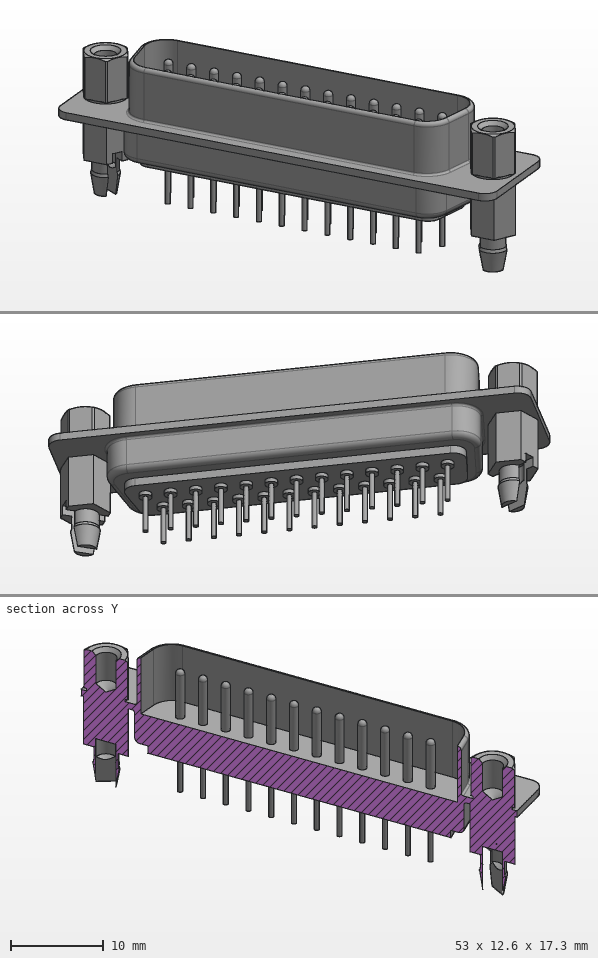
import cadquery as cq
import math


overall_height = 17.3

flange_length = 53.04
flange_width = 12.55
flange_thickness = 0.85
flange_corner_radius = 1.5

side_slant = 10.0
shell_height = 6.1
shell_half_length = 19.75
shell_half_width = 4.7
shell_corner_radius = 3.0
shell_wall = 0.5
cavity_floor = -1.0
rim_radius = 0.47
foot_radius = 0.25

housing_bottom = -4.87
housing_half_length = 20.07
housing_half_width = 5.3
housing_corner_radius = 2.6
housing_edge_radius = 0.7

insulator_bottom = -5.8
insulator_half_length = 18.45
insulator_half_width = 3.41
insulator_corner_radius = 1.41

long_row_count = 13
short_row_count = 12
pin_pitch = 2.77
row_spacing = 2.84
pin_radius = 0.5
pin_tip_radius = 0.99 * pin_radius
pin_top = 5.0
tail_radius = 0.28
tail_bottom = -10.42
pin_boss_radius = 0.69
pin_boss_bottom = -6.25

post_spacing = 47.04
hex_flats = 4.76
nut_bottom = 0.25
nut_top = 5.25
nut_round_radius = 2.68
nut_chamfer_width = 0.35
nut_chamfer_height = 0.2
washer_radius = hex_flats / 2
bore_radius = 1.2
drill_point_angle = 118.0
bore_depth = 4.0
bore_tip_depth = bore_radius / math.tan(math.radians(drill_point_angle / 2))
countersink_radius = 1.65
countersink_depth = countersink_radius - bore_radius
standoff_bottom = -6.9

lock_bottom = shell_height - overall_height
lock_barb_top = -8.5
lock_barb_bottom = -8.86
lock_shank_radius = 1.5
lock_barb_radius = 1.62
lock_tip_radius = 1.23
slot_width = 1.2
slot_top = -5.8
slot_angle = 30.0
lock_bore_bottom = -8.07


def d_prism(half_length, half_width, corner_radius, bottom, top):
    """D-shaped prism, wider on the +Y side, with rounded upright corners."""
    taper = half_width * math.tan(math.radians(side_slant))
    wide = half_length + taper
    narrow = half_length - taper
    corners = [(-wide, half_width), (wide, half_width), (narrow, -half_width), (-narrow, -half_width)]
    prism = cq.Workplane("XY").workplane(offset=bottom).polyline(corners).close().extrude(top - bottom)
    return prism.edges("|Z").fillet(corner_radius)


def cylinder(radius, bottom, top, x=0.0, y=0.0):
    """Upright cylinder between two heights."""
    return cq.Workplane("XY").workplane(offset=bottom).center(x, y).circle(radius).extrude(top - bottom)


def hex_prism(bottom, top):
    """Hexagonal prism with two corners on the X axis."""
    across_corners = hex_flats / math.cos(math.radians(30))
    return cq.Workplane("XY").workplane(offset=bottom).polygon(6, across_corners).extrude(top - bottom)


def revolved(profile):
    """Solid turned about Z from a profile of (radius, height) points."""
    return cq.Workplane("XZ").polyline(profile).close().revolve(360, (0, 0), (0, 1))


def make_shell_body():
    """Flange, hollow shell above it, solid housing and stepped insulator below it."""
    flange = (
        cq.Workplane("XY")
        .workplane(offset=-flange_thickness)
        .rect(flange_length, flange_width)
        .extrude(flange_thickness)
        .edges("|Z")
        .fillet(flange_corner_radius)
    )
    shell = d_prism(shell_half_length, shell_half_width, shell_corner_radius, 0, shell_height)
    shell = shell.faces(">Z").edges().fillet(rim_radius)
    housing = d_prism(
        housing_half_length, housing_half_width, housing_corner_radius, housing_bottom, -flange_thickness
    )
    housing = housing.faces("<Z").edges().fillet(housing_edge_radius)
    body = flange.union(shell).union(housing)
    body = body.edges(flange_joint_edges()).fillet(foot_radius)

    cavity_half_length = shell_half_length - shell_wall / math.cos(math.radians(side_slant))
    cavity = d_prism(
        cavity_half_length,
        shell_half_width - shell_wall,
        shell_corner_radius - shell_wall,
        cavity_floor,
        shell_height,
    )
    insulator = d_prism(
        insulator_half_length,
        insulator_half_width,
        insulator_corner_radius,
        insulator_bottom,
        housing_bottom,
    )
    return body.cut(cavity).union(insulator)


def flange_joint_edges():
    """Selector for the edges where the shell and the housing meet the flange."""
    reach_x = flange_length / 2 - flange_corner_radius
    reach_y = (flange_width / 2 + housing_half_width) / 2
    margin = 0.01
    return cq.selectors.BoxSelector(
        (-reach_x, -reach_y, -flange_thickness - margin),
        (reach_x, reach_y, margin),
    )


def make_contact(x, y):
    """Round-tipped pin above, tail below and the insulator boss around the tail."""
    pin = cylinder(pin_radius, cavity_floor, pin_top, x, y).faces(">Z").edges().fillet(pin_tip_radius)
    boss = cylinder(pin_boss_radius, pin_boss_bottom, insulator_bottom, x, y)
    tail = cylinder(tail_radius, tail_bottom, insulator_bottom, x, y)
    return pin.union(boss).union(tail)


def make_nut():
    """Hexagonal jack nut with turned corners, a blind countersunk bore and a round washer foot."""
    nut = hex_prism(nut_bottom, nut_top)
    turned = revolved([
        (0, nut_bottom),
        (nut_round_radius, nut_bottom),
        (nut_round_radius, nut_top - nut_chamfer_height),
        (nut_round_radius - nut_chamfer_width, nut_top),
        (0, nut_top),
    ])
    bore = revolved([
        (0, nut_top),
        (countersink_radius, nut_top),
        (bore_radius, nut_top - countersink_depth),
        (bore_radius, nut_top - bore_depth),
        (0, nut_top - bore_depth - bore_tip_depth),
    ])
    washer = cylinder(washer_radius, 0, nut_bottom)
    return nut.intersect(turned).union(washer).cut(bore)


def make_standoff():
    """Hexagonal standoff ending in a barbed, slotted board lock."""
    standoff = hex_prism(standoff_bottom, -flange_thickness)
    lock = revolved([
        (0, standoff_bottom),
        (lock_shank_radius, standoff_bottom),
        (lock_shank_radius, lock_barb_top),
        (lock_barb_radius, lock_barb_bottom),
        (lock_tip_radius, lock_bottom),
        (0, lock_bottom),
    ])
    slot = (
        cq.Workplane("XY")
        .workplane(offset=lock_bottom)
        .rect(2 * hex_flats, slot_width)
        .extrude(slot_top - lock_bottom)
        .rotate((0, 0, 0), (0, 0, 1), -slot_angle)
    )
    lock_bore = revolved([
        (0, slot_top),
        (bore_radius, slot_top),
        (bore_radius, lock_bore_bottom),
        (0, lock_bore_bottom - bore_tip_depth),
    ])
    return standoff.union(lock).cut(slot).cut(lock_bore)


left_post = make_nut().union(make_standoff()).translate((-post_spacing / 2, 0, 0))
right_post = left_post.mirror("YZ")

result = make_shell_body().union(left_post).union(right_post)

for count, row_y in ((long_row_count, row_spacing / 2), (short_row_count, -row_spacing / 2)):
    for index in range(count):
        pin_x = (index - (count - 1) / 2) * pin_pitch
        result = result.union(make_contact(pin_x, row_y))